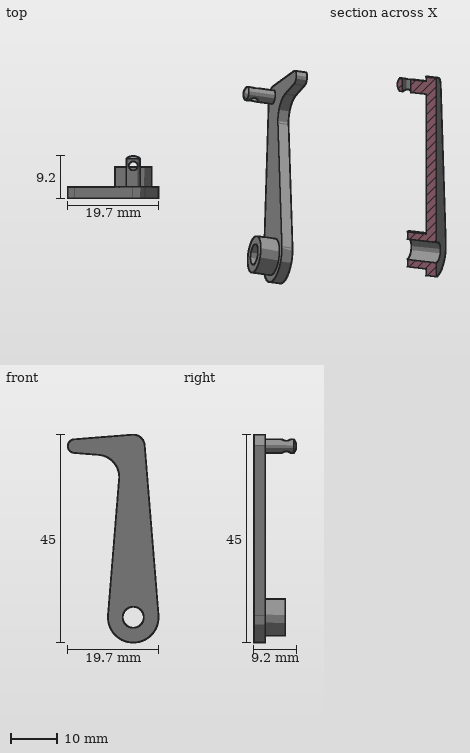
import cadquery as cq
import math

plate_thickness = 2.5

hub_radius = 5.5
pivot_hole_diameter = 4.5
boss_diameter = 8.0
boss_length = 4.3

overall_width = 19.67
corner_height = 37.0
corner_radius = 2.5
tip_radius = 1.5
inner_fillet_radius = 4.75

pin_diameter = 3.0
pin_end = 9.2
dome_height = 0.6
cross_hole_diameter = 1.9
cross_hole_y = 7.0

pivot = (0.0, 0.0)
corner = (0.0, corner_height)
hook_tip = (hub_radius + tip_radius - overall_width, corner_height)


def xz_plane(y):
    """Sketch plane at the given Y: local axes are X and Z, and a negative extrusion runs toward +Y."""
    return cq.Workplane("XZ", origin=(0, y, 0))


def tapered_link(start, start_radius, end, end_radius):
    """Plate bounded by two circles and their two outer tangent lines."""
    dx = end[0] - start[0]
    dz = end[1] - start[1]
    axis_angle = math.atan2(dz, dx)
    tangent_angle = math.acos((start_radius - end_radius) / math.hypot(dx, dz))

    def on_circle(center, radius, angle):
        return (center[0] + radius * math.cos(angle), center[1] + radius * math.sin(angle))

    left = axis_angle + tangent_angle
    right = axis_angle - tangent_angle
    return (
        xz_plane(0)
        .moveTo(*on_circle(start, start_radius, right))
        .lineTo(*on_circle(end, end_radius, right))
        .threePointArc(on_circle(end, end_radius, axis_angle), on_circle(end, end_radius, left))
        .lineTo(*on_circle(start, start_radius, left))
        .threePointArc(
            on_circle(start, start_radius, axis_angle + math.pi),
            on_circle(start, start_radius, right),
        )
        .close()
        .extrude(-plate_thickness)
    )


def make_plate():
    """Lever and hook joined at the corner, with a fillet in the concave angle."""
    lever = tapered_link(pivot, hub_radius, corner, corner_radius)
    hook = tapered_link(corner, corner_radius, hook_tip, tip_radius)
    inner_corner = (corner[0] - corner_radius, plate_thickness / 2, corner[1] - corner_radius)
    plate = lever.union(hook).clean()
    return plate.edges("|Y").edges(cq.NearestToPointSelector(inner_corner)).fillet(inner_fillet_radius)


def make_boss():
    """Round boss around the pivot on the back of the plate."""
    return xz_plane(plate_thickness).circle(boss_diameter / 2).extrude(-boss_length)


def make_pivot_hole():
    """Cutter for the hole through plate and boss."""
    return xz_plane(0).circle(pivot_hole_diameter / 2).extrude(-(plate_thickness + boss_length))


def make_pin():
    """Domed pin behind the corner, with a vertical cross hole near its end."""
    radius = pin_diameter / 2
    shoulder = pin_end - dome_height
    dome_radius = (radius**2 + dome_height**2) / (2 * dome_height)
    half_angle = math.asin(radius / dome_radius) / 2
    dome_center = pin_end - dome_radius
    dome_middle = (dome_radius * math.sin(half_angle), dome_center + dome_radius * math.cos(half_angle))
    pin = (
        cq.Workplane("XY")
        .moveTo(0, plate_thickness)
        .lineTo(radius, plate_thickness)
        .lineTo(radius, shoulder)
        .threePointArc(dome_middle, (0, pin_end))
        .close()
        .revolve(360, (0, 0, 0), (0, 1, 0))
    )
    cross_hole = (
        cq.Workplane("XY")
        .center(0, cross_hole_y)
        .circle(cross_hole_diameter / 2)
        .extrude(pin_diameter, both=True)
    )
    return pin.cut(cross_hole).translate((corner[0], 0, corner[1]))


result = make_plate().union(make_boss()).cut(make_pivot_hole()).union(make_pin())